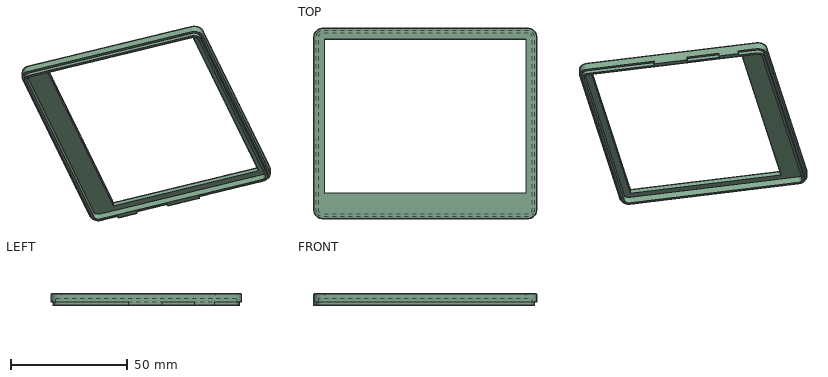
import cadquery as cq

LENGTH_X = 96.1
WIDTH_Y = 82.1
HEIGHT = 5.0
CORNER_RADIUS = 4.0
TOP_FILLET = 0.5

LIP_HEIGHT = 1.5
LIP_INSET = 1.0

WINDOW_SIDE_BORDER = 4.75
WINDOW_BACK_BORDER = 4.85
WINDOW_FRONT_BORDER = 11.2

PLATE_THICKNESS = 2.0
WALL_THICKNESS = 2.0

TAB_SPANS = [(-29.3, -20.8), (-6.8, 7.6)]


def rounded_block(inset, bottom, top):
    """Block offset inwards from the outer outline, with concentric corners."""
    return (
        cq.Workplane("XY")
        .workplane(offset=bottom)
        .rect(LENGTH_X - 2 * inset, WIDTH_Y - 2 * inset)
        .extrude(top - bottom)
        .edges("|Z")
        .fillet(CORNER_RADIUS - inset)
    )


def make_body():
    """Full-width upper body with a rounded top rim, standing on the inset lip."""
    upper_body = rounded_block(0, LIP_HEIGHT, HEIGHT).faces(">Z").edges().fillet(TOP_FILLET)
    lip = rounded_block(LIP_INSET, 0, LIP_HEIGHT)
    return upper_body.union(lip)


def make_recess():
    """Cutter that hollows the underside up to the face plate."""
    return rounded_block(WALL_THICKNESS, 0, HEIGHT - PLATE_THICKNESS)


def make_window():
    """Rectangular through-cutter with sharp corners."""
    size_x = LENGTH_X - 2 * WINDOW_SIDE_BORDER
    size_y = WIDTH_Y - WINDOW_BACK_BORDER - WINDOW_FRONT_BORDER
    center_y = (WINDOW_FRONT_BORDER - WINDOW_BACK_BORDER) / 2
    return cq.Workplane("XY").center(0, center_y).rect(size_x, size_y).extrude(HEIGHT)


def make_tab(y_start, y_end):
    """Pad that fills the lip step flush with the -X face."""
    tab = cq.Workplane("XY").box(WALL_THICKNESS, y_end - y_start, LIP_HEIGHT, centered=False)
    return tab.translate((-LENGTH_X / 2, y_start, 0))


result = make_body().cut(make_recess()).cut(make_window())
for y_start, y_end in TAB_SPANS:
    result = result.union(make_tab(y_start, y_end))